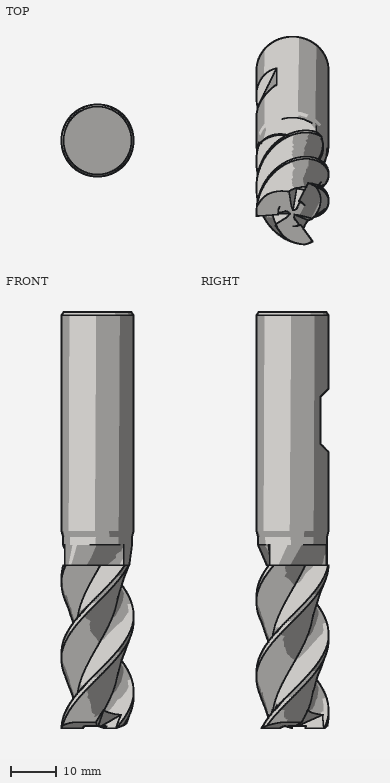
import cadquery as cq
import math

diameter = 16.0
radius = diameter / 2
total_length = 92.0
flute_length = 36.0

shank_bottom = 43.6
top_chamfer_width = 0.5
top_chamfer_height = 0.8
flat_depth = 1.8
flat_length = 14.0
flat_center = total_length - 24.0

neck_radius = 7.65
neck_cone_bottom = 42.3
runout_top = 40.5
neck_land_span = 17.0
runout_splits = (33.0, 92.0, 117.0)

tooth_count = 3
tooth_step = 360.0 / tooth_count
helix_angle = 45.0
lead = math.pi * diameter / math.tan(math.radians(helix_angle))
twist = 360.0 * flute_length / lead
first_edge_angle = 181.0
core_radius = 4.6
rake_radius = 6.85
land_span = 10.0
back_span = 79.0
rake_lag = 3.0
back_sagitta = 1.2
flute_sagitta = 0.2

relief_height = 1.35
relief_angle = 17.0
dish_radius = 3.2
dish_depth = 0.5
gash_corners = (
    (radius, 0.0, 0.0),
    (rake_radius, 18.5, 3.0),
    (core_radius, -14.0, 4.0),
    (core_radius, -45.5, 0.0),
)
gash_stretch = 2.0
clearance = 1.0


def polar(distance, angle):
    """Point at a distance from the tool axis, angle in degrees from +X."""
    turn = math.radians(angle)
    return (distance * math.cos(turn), distance * math.sin(turn))


def tooth_section(plane, turn, outer_radius, land_end):
    """Cross-section of the teeth: land, convex back, concave flute and rake face for each tooth."""
    section = plane.moveTo(*polar(outer_radius, turn))
    for tooth in range(tooth_count):
        edge = turn + tooth * tooth_step
        next_edge = edge + tooth_step
        section = (
            section
            .threePointArc(polar(outer_radius, edge + land_end / 2), polar(outer_radius, edge + land_end))
            .sagittaArc(polar(core_radius, edge + back_span), -back_sagitta)
            .sagittaArc(polar(rake_radius, next_edge - rake_lag), flute_sagitta)
            .lineTo(*polar(outer_radius, next_edge))
        )
    return section.close()


def split_circle(plane, turn):
    """Neck circle split where the land, back, flute and rake of each tooth run out."""
    circle = plane.moveTo(*polar(neck_radius, turn))
    for tooth in range(tooth_count):
        edge = turn + tooth * tooth_step
        start = 0.0
        for end in (*runout_splits, tooth_step):
            middle = (start + end) / 2
            circle = circle.threePointArc(polar(neck_radius, edge + middle), polar(neck_radius, edge + end))
            start = end
    return circle.close()


def turned(half_profile):
    """Solid of revolution about Z from (radius, z) points."""
    return cq.Workplane("XZ").polyline(half_profile).close().revolve(360, (0, 0), (0, 1))


def tip_relief(edge_angle):
    """Space under the end face of one tooth: slopes up behind its cutting edge, then runs level.

    It is shaped for an edge along -X and then turned to the tooth.
    """
    minus_x_angle = 180.0
    relief_run = relief_height / math.tan(math.radians(relief_angle))
    profile = [
        (0, 0),
        (-relief_run, relief_height),
        (-diameter, relief_height),
        (-diameter, -clearance),
        (0, -clearance),
    ]
    prism = cq.Workplane("YZ").polyline(profile).close().extrude(diameter, both=True)
    sector_corners = [(0, 0)]
    for angle in (minus_x_angle, minus_x_angle + tooth_step / 2, minus_x_angle + tooth_step):
        sector_corners.append(polar(2 * diameter, angle))
    sector = cq.Workplane("XY").workplane(offset=-clearance).polyline(sector_corners).close()
    relief = prism.intersect(sector.extrude(clearance + relief_height))
    return relief.rotate((0, 0, 0), (0, 0, 1), edge_angle - minus_x_angle)


def tip_gash(edge_angle):
    """Notch ahead of one cutting edge: a pyramid that opens outward from the tip centre."""
    center = cq.Vector(0, 0, 0)
    corners = []
    for distance, angle, height in gash_corners:
        x, y = polar(distance, edge_angle + angle)
        corners.append(cq.Vector(x, y, height) * gash_stretch)
    edge, wall_top, side_top, side_bottom = corners
    triangles = [
        (center, edge, wall_top),
        (center, wall_top, side_top),
        (center, side_top, side_bottom),
        (center, side_bottom, edge),
        (edge, wall_top, side_top),
        (edge, side_top, side_bottom),
    ]
    faces = [cq.Face.makeFromWires(cq.Wire.makePolygon(corner, close=True)) for corner in triangles]
    return cq.Workplane(obj=cq.Solid.makeSolid(cq.Shell.makeShell(faces)))


def build_cutter():
    section = tooth_section(cq.Workplane("XY"), first_edge_angle, radius, land_span)
    cutter = section.twistExtrude(flute_length, twist)
    for tooth in range(tooth_count):
        edge_angle = first_edge_angle + tooth * tooth_step
        cutter = cutter.cut(tip_relief(edge_angle)).cut(tip_gash(edge_angle))
    dish = cq.Workplane("XY").circle(dish_radius).extrude(dish_depth)
    return cutter.cut(dish)


def build_shank():
    chamfer_bottom = total_length - top_chamfer_height
    shank = turned([
        (0, runout_top),
        (neck_radius, runout_top),
        (neck_radius, neck_cone_bottom),
        (radius, shank_bottom),
        (radius, chamfer_bottom),
        (radius - top_chamfer_width, total_length),
        (0, total_length),
    ])

    neck_base = cq.Workplane("XY").workplane(offset=flute_length)
    top_edge_angle = first_edge_angle + twist
    runout = tooth_section(neck_base, top_edge_angle, neck_radius, neck_land_span)
    runout = split_circle(runout.workplane(offset=runout_top - flute_length), top_edge_angle).loft(ruled=True)
    shank = shank.union(runout)

    floor = radius - flat_depth
    half_floor = flat_length / 2 - flat_depth
    half_mouth = flat_length / 2 + clearance
    flat = (
        cq.Workplane("YZ")
        .polyline([
            (floor, flat_center - half_floor),
            (radius + clearance, flat_center - half_mouth),
            (radius + clearance, flat_center + half_mouth),
            (floor, flat_center + half_floor),
        ])
        .close()
        .extrude(radius, both=True)
    )
    return shank.cut(flat)


cutter = build_cutter()
shank = build_shank()

result = cq.Compound.makeCompound([cutter.val(), shank.val()])